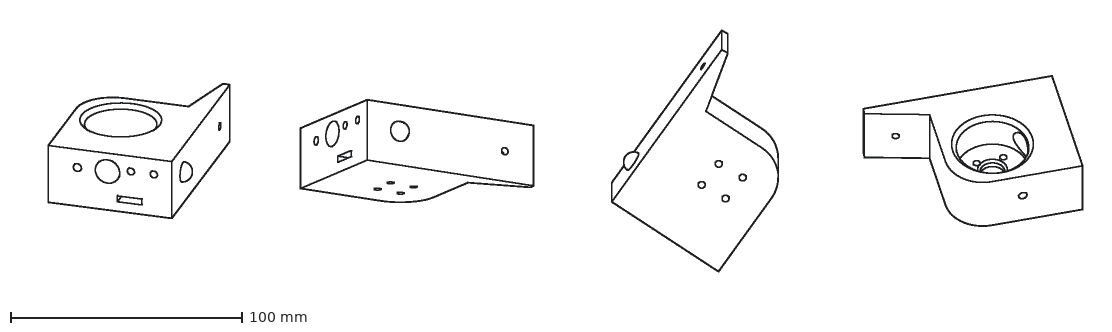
import cadquery as cq
import math

height = 27.0
body_width = 56.0
body_length = 57.0
corner_radius = 16.5

total_length = 84.2
arm_root_width = 10.3
arm_tip_width = 3.1
arm_tip_drop = 0.25

bowl_x = 22.0
bowl_y = 34.8
bowl_diameter = 31.3
bowl_depth = 16.0
bowl_chamfer = 2.0
recess_diameter = 10.8
recess_depth = 3.4
recess_chamfer = 1.1

floor_hole_diameter = 3.0
floor_hole_pairs = [(8.0, 45.0), (9.0, 135.0)]

port_diameter = 11.0
port_x = 26.85
port_z = 18.35
sensor_hole_diameter = 3.6
sensor_hole_x = 13.2
screw_hole_diameter = 3.2
screw_hole_z = 19.8
screw_hole_places = [37.5, 47.8]
blind_depth = 10.1
slot_width = 11.0
slot_height = 2.8
slot_x = 36.9
slot_z = 6.0
slot_depth = 16.8

side_hole_diameter = 3.7
side_hole_y = 26.6
side_hole_z = 15.1

arm_hole_diameter = 3.1
arm_hole_y = 71.1
arm_hole_lead = 10.1
arm_hole_length = 30.3

button_radius = 4.5
button_projection = 4.0
button_y = 16.25
button_z = 15.1


def drill(start, direction, diameter, depth):
    """Cylinder used as a cutter, from a start point along a direction."""
    return cq.Workplane(
        cq.Solid.makeCylinder(diameter / 2, depth, cq.Vector(*start), cq.Vector(*direction))
    )


def make_body():
    arm_root_x = body_width - arm_root_width
    return (
        cq.Workplane("XY")
        .lineTo(body_width, 0)
        .lineTo(body_width, total_length - arm_tip_drop)
        .lineTo(body_width - arm_tip_width, total_length)
        .lineTo(arm_root_x, body_length)
        .lineTo(corner_radius, body_length)
        .radiusArc((0, body_length - corner_radius), -corner_radius)
        .close()
        .extrude(height)
    )


def chamfered_pocket(top_z, diameter, depth, chamfer):
    """Round pocket on the bowl axis with a 45 degree lead-in at its mouth."""
    radius = diameter / 2
    profile = (
        cq.Workplane("XZ")
        .moveTo(0, top_z)
        .lineTo(radius + chamfer, top_z)
        .lineTo(radius, top_z - chamfer)
        .lineTo(radius, top_z - depth)
        .lineTo(0, top_z - depth)
        .close()
    )
    return profile.revolve(360, (0, 0, 0), (0, 1, 0)).translate((bowl_x, bowl_y, 0))


def cut_bowl(part):
    part = part.cut(chamfered_pocket(height, bowl_diameter, bowl_depth, bowl_chamfer))
    floor_z = height - bowl_depth
    part = part.cut(chamfered_pocket(floor_z, recess_diameter, recess_depth, recess_chamfer))
    for distance, angle in floor_hole_pairs:
        for turn in (angle, angle + 180):
            x = bowl_x + distance * math.cos(math.radians(turn))
            y = bowl_y + distance * math.sin(math.radians(turn))
            part = part.cut(drill((x, y, 0), (0, 0, 1), floor_hole_diameter, floor_z))
    return part


def cut_front_openings(part):
    inward = (0, 1, 0)
    part = part.cut(drill((port_x, 0, port_z), inward, port_diameter, bowl_y))
    part = part.cut(drill((sensor_hole_x, 0, port_z), inward, sensor_hole_diameter, blind_depth))
    for x in screw_hole_places:
        part = part.cut(drill((x, 0, screw_hole_z), inward, screw_hole_diameter, blind_depth))
    slot = (
        cq.Workplane("XY")
        .box(slot_width, slot_depth, slot_height, centered=(True, False, True))
        .translate((slot_x, 0, slot_z))
    )
    return part.cut(slot)


def cut_side_hole(part):
    return part.cut(drill((0, side_hole_y, side_hole_z), (1, 0, 0), side_hole_diameter, bowl_x))


def cut_arm_hole(part):
    slope_run = arm_root_width - arm_tip_width
    slope_rise = total_length - body_length
    slope = slope_run / slope_rise
    face_x = body_width - arm_root_width + (arm_hole_y - body_length) * slope
    start = (face_x - arm_hole_lead, arm_hole_y + arm_hole_lead * slope, height / 2)
    return part.cut(drill(start, (1, -slope, 0), arm_hole_diameter, arm_hole_length))


def add_button(part):
    centre = cq.Vector(body_width + button_projection - button_radius, button_y, button_z)
    ball = cq.Workplane(
        cq.Solid.makeSphere(button_radius, centre, cq.Vector(1, 0, 0), -90, 90, 360)
    )
    return part.union(ball)


result = make_body()
result = cut_bowl(result)
result = cut_front_openings(result)
result = cut_side_hole(result)
result = cut_arm_hole(result)
result = add_button(result)